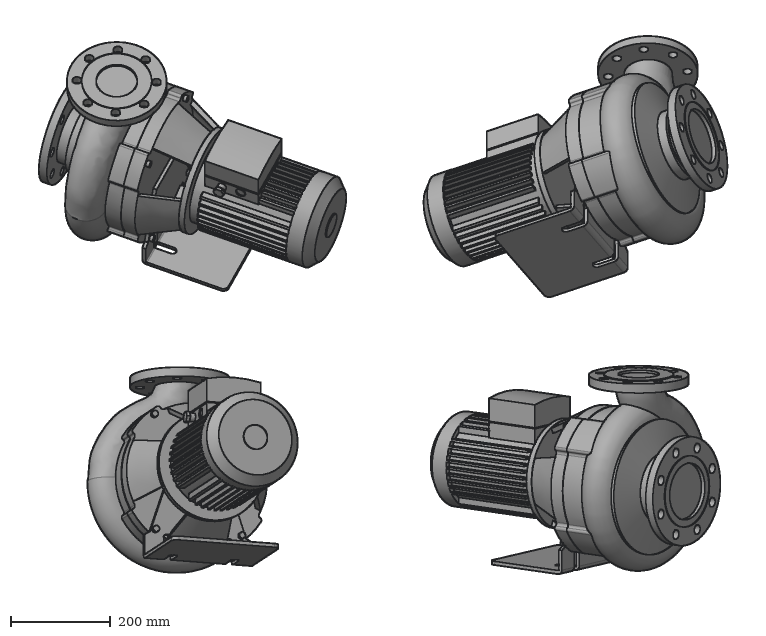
import cadquery as cq
import math


casing_end_x = 200.0
inlet_flange_dia = 220.0
inlet_raised_dia = 144.0
inlet_recess_dia = 114.5
inlet_bolt_circle_dia = 180.0
inlet_bolt_hole_dia = 19.0
inlet_flange_back_x = 19.5
neck_dia = 124.5
neck_end_x = 43.5
hub_dia = 144.0
hub_end_x = 63.0
front_cone_dia = 274
front_cone_end_x = 80.0
casing_ring_dia = 300.5

scroll_x = 124.0
scroll_offset_y = -16.5
scroll_path_radius = 135.0
scroll_tube_radius = 42
scroll_turn = 270
outlet_path_radius = 143
outlet_tube_radius = 49.0
bend_steps = 5
outlet_face_z = 225.0
outlet_flange_bottom_z = 205.0
outlet_flange_dia = 200.0
outlet_raised_dia = 140.0
outlet_recess_dia = 82.0
outlet_bolt_circle_dia = 160.0
outlet_bolt_hole_dia = 18
flange_hole_count = 8
raised_face_height = 2.0
inlet_recess_depth = 9.0
outlet_recess_depth = 5.0

pad_radius = 160.5
pad_half_angle = 15.1

lantern_dia = 298
lantern_ring_end_x = 230.5
lantern_flange_x = 310
lantern_flange_dia = 223.0
lantern_end_x = 322.5
shell_end_radius = 110.0
shell_thickness = 12.5
arm_half_angle = 25

bolt_y = 91.0
bolt_z = 119
bolt_shank_dia = 9.0
bolt_head_dia = 13.0
bolt_head_height = 8.5
bolt_depth = 24

foot_bottom_z = -180.0
foot_thickness = 8.0
foot_bend_radius = 10.0
foot_end_x = 415.5
foot_half_width = 113
foot_corner_radius = 12
foot_slot_y = 65.0
foot_slot_width = 16.0
foot_slot_reach = 53.0
foot_shoulder_z = -123.5
foot_shoulder_half_width = 101.5
foot_shoulder_drop = 7.0
foot_top_half_width = 59.5

motor_core_dia = 173
motor_dia = 193.0
fin_start_x = 343.0
fin_end_x = 539.0
fin_pitch = 13.4
fin_thickness = 4.0
fins_per_side = 9
cowl_straight_end_x = 574.5
cowl_end_x = 593.5
cowl_end_dia = 155
end_disc_dia = 50.0
overall_length = 596

box_end_x = 461.0
box_half_width = 57.0
box_bottom_z = math.sqrt((motor_core_dia / 2) ** 2 - box_half_width**2)
box_side_top_z = 145.5
box_crown_z = 152.0
lid_groove_z = 96.5
lid_groove_width = 2.0
lid_groove_depth = 1.0
entry_z = 82.0
entry_hole_x = 421.5
entry_hole_dia = 20.0
entry_hole_depth = 2.5
gland_x = 381.5
gland_neck_dia = 18
gland_neck_length = 11.5
gland_nut_flats = 20.0
gland_nut_length = 8.0


def shaft_disc(diameter, start_x, end_x):
    """Cylinder on the shaft axis between two X positions."""
    return cq.Workplane("YZ").workplane(offset=start_x).circle(diameter / 2).extrude(end_x - start_x)


def shaft_turning(profile):
    """Solid of revolution about the shaft from (x, radius) points."""
    return cq.Workplane("XY").polyline(profile).close().revolve(360, (0, 0), (1, 0))


def turned_about_shaft(body, angle):
    return body.rotate((0, 0, 0), (1, 0, 0), angle)


def corner_pads(base_radius, start_x, end_x):
    """Four raised sectors at 45 degrees to the vertical, with S-shaped end walls of two quarter arcs."""
    wall_radius = (base_radius + pad_radius) / 2
    arc_radius = (pad_radius - base_radius) / 2
    arc_half_angle = math.degrees(arc_radius / wall_radius)
    diagonal = math.sqrt(0.5)

    def at(radius, angle):
        return (radius * math.cos(math.radians(angle)), radius * math.sin(math.radians(angle)))

    def on_wall(side, out, away):
        """Point of an end wall, measured in arc radii from its middle, outward and away from the pad."""
        return at(wall_radius + out * arc_radius, 45 + side * (pad_half_angle + away * arc_half_angle))

    pad = (
        cq.Workplane("YZ")
        .workplane(offset=start_x)
        .moveTo(*at(base_radius / 2, 45))
        .lineTo(*on_wall(-1, -1, 1))
        .threePointArc(on_wall(-1, -diagonal, 1 - diagonal), on_wall(-1, 0, 0))
        .threePointArc(on_wall(-1, diagonal, diagonal - 1), on_wall(-1, 1, -1))
        .threePointArc(at(pad_radius, 45), on_wall(1, 1, -1))
        .threePointArc(on_wall(1, diagonal, diagonal - 1), on_wall(1, 0, 0))
        .threePointArc(on_wall(1, -diagonal, 1 - diagonal), on_wall(1, -1, 1))
        .close()
        .extrude(end_x - start_x)
    )
    pads = pad
    for quarter in range(1, 4):
        pads = pads.union(turned_about_shaft(pad, 90 * quarter))
    return pads


def make_scroll():
    """Round tube that curls around the shaft, ending inside the outlet bend."""
    return (
        cq.Workplane("XY")
        .center(scroll_x, scroll_offset_y - scroll_path_radius)
        .circle(scroll_tube_radius)
        .revolve(scroll_turn, (0, scroll_path_radius), (1, scroll_path_radius))
    )


def make_outlet_bend():
    """S-shaped tube of two arcs that leaves the scroll tangentially and widens to the outlet flange."""
    rise = outlet_face_z - outlet_recess_depth
    centre_y = scroll_offset_y - scroll_path_radius + outlet_path_radius
    neck_radius = (rise**2 + centre_y**2 - outlet_path_radius**2) / (2 * (outlet_path_radius - centre_y))
    turn = math.atan2(rise, neck_radius + centre_y)
    stations = []
    for step in range(bend_steps):
        angle = turn * step / bend_steps
        y = centre_y - outlet_path_radius * math.cos(angle)
        stations.append((y, outlet_path_radius * math.sin(angle), angle))
    for step in range(bend_steps, -1, -1):
        angle = turn * step / bend_steps
        y = neck_radius * (math.cos(angle) - 1)
        stations.append((y, rise - neck_radius * math.sin(angle), angle))

    sections = []
    for index, (y, z, angle) in enumerate(stations):
        widening = (outlet_tube_radius - scroll_tube_radius) * index / (len(stations) - 1)
        direction = cq.Vector(0, math.sin(angle), math.cos(angle))
        plane = cq.Plane(origin=(scroll_x, y, z), xDir=(1, 0, 0), normal=direction)
        section = cq.Workplane(plane).circle(scroll_tube_radius + widening)
        sections.append(cq.Wire.assembleEdges(section.edges().vals()))
    return cq.Workplane(cq.Solid.makeLoft(sections))


def make_flange(face, raised_dia, flange_dia, thickness, circle_dia, hole_dia, recess_dia, recess_depth):
    """Pipe flange; the given plane lies on its raised face and points outward."""
    flange = face.workplane(offset=-raised_face_height).circle(flange_dia / 2)
    flange = flange.extrude(raised_face_height - thickness)
    raised = face.circle(raised_dia / 2).extrude(-thickness)
    holes = (
        face.polarArray(circle_dia / 2, 180 / flange_hole_count, 360, flange_hole_count)
        .circle(hole_dia / 2)
        .extrude(-thickness)
    )
    recess = face.circle(recess_dia / 2).extrude(-recess_depth)
    return flange.union(raised).cut(holes).cut(recess)


def make_casing():
    inlet_flange = make_flange(
        cq.Workplane("YZ").transformed(rotate=(0, 180, 0)),
        inlet_raised_dia,
        inlet_flange_dia,
        inlet_flange_back_x,
        inlet_bolt_circle_dia,
        inlet_bolt_hole_dia,
        inlet_recess_dia,
        inlet_recess_depth,
    )
    outlet_flange = make_flange(
        cq.Workplane("XY", origin=(scroll_x, 0, outlet_face_z)),
        outlet_raised_dia,
        outlet_flange_dia,
        outlet_face_z - outlet_flange_bottom_z,
        outlet_bolt_circle_dia,
        outlet_bolt_hole_dia,
        outlet_recess_dia,
        outlet_recess_depth,
    )
    core = shaft_turning(
        [
            (inlet_flange_back_x, 0),
            (inlet_flange_back_x, neck_dia / 2),
            (neck_end_x, neck_dia / 2),
            (neck_end_x, hub_dia / 2),
            (hub_end_x, hub_dia / 2),
            (front_cone_end_x, front_cone_dia / 2),
            (scroll_x, front_cone_dia / 2),
            (scroll_x, casing_ring_dia / 2),
            (casing_end_x, casing_ring_dia / 2),
            (casing_end_x, 0),
        ]
    )
    return (
        core.union(corner_pads(casing_ring_dia / 2, scroll_x, casing_end_x))
        .union(make_scroll())
        .union(make_outlet_bend())
        .union(inlet_flange)
        .union(outlet_flange)
    )


def make_lantern():
    """Ring, four arms cut from a conical shell, and motor flange."""
    shell = shaft_turning(
        [
            (lantern_ring_end_x, lantern_dia / 2 - shell_thickness),
            (lantern_ring_end_x, lantern_dia / 2),
            (lantern_flange_x, shell_end_radius),
            (lantern_flange_x, shell_end_radius - shell_thickness),
        ]
    )
    wedge_height = lantern_dia
    wedge_half_width = wedge_height * math.tan(math.radians(arm_half_angle))
    arm_wedge = (
        cq.Workplane("YZ")
        .polyline([(0, 0), (wedge_half_width, wedge_height), (-wedge_half_width, wedge_height)])
        .close()
        .extrude(lantern_end_x)
    )
    arm = shell.intersect(arm_wedge)
    lantern = shaft_disc(lantern_dia, casing_end_x, lantern_ring_end_x)
    lantern = lantern.union(corner_pads(lantern_dia / 2, casing_end_x, lantern_ring_end_x))
    lantern = lantern.union(shaft_disc(lantern_flange_dia, lantern_flange_x, lantern_end_x))
    for quarter in range(4):
        lantern = lantern.union(turned_about_shaft(arm, 90 * quarter))
    return lantern


def make_foot():
    """Bent plate: an upright leg on the lantern ring and a slotted base under the motor."""
    back_x = lantern_ring_end_x
    front_x = back_x + foot_thickness
    base_top_z = foot_bottom_z + foot_thickness
    bent_plate = (
        cq.Workplane("XZ")
        .polyline(
            [
                (back_x, 0),
                (back_x, foot_bottom_z),
                (foot_end_x, foot_bottom_z),
                (foot_end_x, base_top_z),
                (front_x, base_top_z),
                (front_x, 0),
            ]
        )
        .close()
        .extrude(foot_half_width, both=True)
    )
    bent_plate = bent_plate.edges(cq.selectors.NearestToPointSelector((back_x, 0, foot_bottom_z))).fillet(
        foot_bend_radius
    )
    bent_plate = bent_plate.edges(cq.selectors.NearestToPointSelector((front_x, 0, base_top_z))).fillet(
        foot_bend_radius - foot_thickness
    )
    bent_plate = bent_plate.edges("|Z").edges(">X").fillet(foot_corner_radius)

    leg_outline = (
        cq.Workplane("YZ")
        .polyline(
            [
                (-foot_half_width, foot_bottom_z),
                (-foot_half_width, foot_shoulder_z - foot_shoulder_drop),
                (-foot_shoulder_half_width, foot_shoulder_z),
                (-foot_top_half_width, 0),
                (foot_top_half_width, 0),
                (foot_shoulder_half_width, foot_shoulder_z),
                (foot_half_width, foot_shoulder_z - foot_shoulder_drop),
                (foot_half_width, foot_bottom_z),
            ]
        )
        .close()
        .extrude(foot_end_x)
    )
    foot = bent_plate.intersect(leg_outline)
    slot_length = 2 * foot_slot_reach
    for slot_y in (-foot_slot_y, foot_slot_y):
        base_slot = (
            cq.Workplane("XY", origin=(back_x, slot_y, foot_bottom_z))
            .slot2D(slot_length, foot_slot_width)
            .extrude(foot_thickness)
        )
        leg_slot = (
            cq.Workplane("YZ", origin=(back_x, slot_y, foot_bottom_z))
            .slot2D(slot_length, foot_slot_width, 90)
            .extrude(foot_thickness)
        )
        foot = foot.cut(base_slot).cut(leg_slot)
    return foot


def make_bolt(y, z, seat_x):
    """Round-head bolt whose head rests at seat_x and whose shank enters the lantern ring."""
    tip_x = lantern_ring_end_x - bolt_depth
    shank = cq.Workplane("YZ", origin=(tip_x, y, z)).circle(bolt_shank_dia / 2).extrude(seat_x - tip_x)
    head = cq.Workplane("YZ", origin=(seat_x, y, z)).circle(bolt_head_dia / 2).extrude(bolt_head_height)
    return shank.union(head)


def make_motor():
    """Motor core, four groups of parallel fins and the fan cowl."""
    fin_length = fin_end_x - fin_start_x
    fins = (
        cq.Workplane("XY")
        .center(fin_start_x + fin_length / 2, 0)
        .rarray(6, fin_pitch, 1, fins_per_side)
        .rect(fin_length, fin_thickness)
        .extrude(motor_dia, both=True)
    )
    fins = fins.union(turned_about_shaft(fins, 90))
    fins = fins.intersect(shaft_disc(motor_dia, fin_start_x, fin_end_x))
    box_length = box_end_x - fin_start_x
    box_space = (
        cq.Workplane("XY", origin=(fin_start_x + box_length / 2, 0, box_bottom_z))
        .rect(box_length, 2 * box_half_width)
        .extrude(box_crown_z - box_bottom_z)
    )
    core = shaft_disc(motor_core_dia, lantern_end_x, fin_end_x)
    cowl = shaft_turning(
        [
            (fin_end_x, 0),
            (fin_end_x, motor_dia / 2),
            (cowl_straight_end_x, motor_dia / 2),
            (cowl_end_x, cowl_end_dia / 2),
            (cowl_end_x, end_disc_dia / 2),
            (overall_length, end_disc_dia / 2),
            (overall_length, 0),
        ]
    )
    return core.union(fins.cut(box_space)).union(cowl)


def make_terminal_box():
    """Box with a groove under its lid, a cable gland and a blank cable entry."""
    block = (
        cq.Workplane("YZ", origin=(fin_start_x, 0, 0))
        .moveTo(-box_half_width, box_bottom_z)
        .lineTo(-box_half_width, box_side_top_z)
        .threePointArc((0, box_crown_z), (box_half_width, box_side_top_z))
        .lineTo(box_half_width, box_bottom_z)
        .threePointArc((0, motor_core_dia / 2), (-box_half_width, box_bottom_z))
        .close()
        .extrude(box_end_x - fin_start_x)
    )
    box_length = box_end_x - fin_start_x
    box_centre = cq.Workplane("XY", origin=(fin_start_x + box_length / 2, 0, lid_groove_z))
    lid_groove = (
        box_centre.rect(box_length, 2 * box_half_width)
        .rect(box_length - 2 * lid_groove_depth, 2 * (box_half_width - lid_groove_depth))
        .extrude(lid_groove_width)
    )
    box = block.cut(lid_groove)
    side = cq.Workplane("XZ", origin=(0, -box_half_width, entry_z))
    entry = side.center(entry_hole_x, 0).circle(entry_hole_dia / 2).extrude(-entry_hole_depth)
    neck = side.center(gland_x, 0).circle(gland_neck_dia / 2).extrude(gland_neck_length)
    nut_corner_dia = gland_nut_flats / math.cos(math.radians(30))
    nut = (
        side.workplane(offset=gland_neck_length)
        .center(gland_x, 0)
        .polygon(6, nut_corner_dia)
        .extrude(gland_nut_length)
    )
    return box.cut(entry).union(neck).union(nut)


foot = make_foot()

bolts = []
for y in (-bolt_y, bolt_y):
    bolts.append(make_bolt(y, bolt_z, lantern_ring_end_x))
    bolts.append(make_bolt(y, -bolt_z, lantern_ring_end_x + foot_thickness))

casing = make_casing()
lantern = make_lantern().cut(foot)
for bolt in bolts:
    foot = foot.cut(bolt)
    lantern = lantern.cut(bolt)

terminal_box = make_terminal_box()
motor = make_motor()

result = cq.Compound.makeCompound(
    [
        casing.val(),
        lantern.val(),
        foot.val(),
        *[bolt.val() for bolt in bolts],
        motor.val(),
        terminal_box.val(),
    ]
)